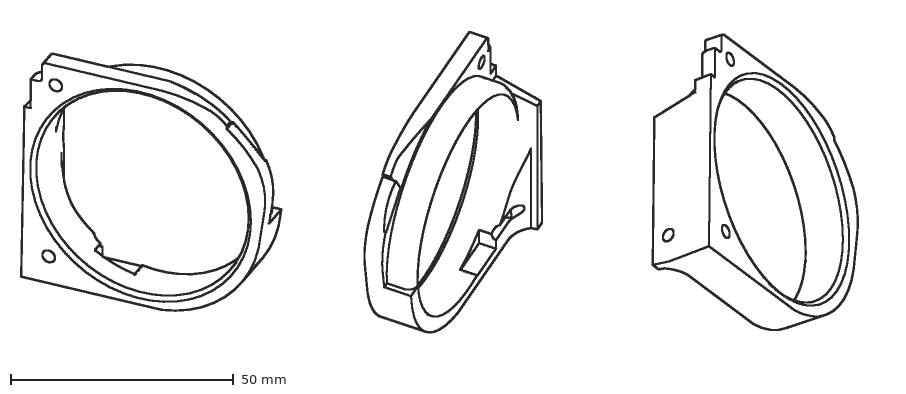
import cadquery as cq
import math

ring_x = 29.4
ring_z = 28.9
bore_radius = 26.15
bore_chamfer = 1.0
ring_radius = 28.4
ring_depth = 11.1
ring_round = 2.5

width = 60.15
height = 57.75
plate_depth = 4.45
step_low_z = 45.0
step_low_x = 2.35
step_high_z = 52.6
step_high_x = 5.1
step_round = 0.95
side_lean = 0.8
notch_x = 50.65
notch_low_z = 51.75
notch_high_z = 52.5
skirt_top_z = 26.5

relief_start = 2.0
relief_width = 1.55

wall_depth = 15.9
wall_lean = 0.95
wall_root_x = 3.9
wall_tip_x = 3.4
wall_front_z = 41.9
wall_back_z = 39.3
wall_bottom_rise = 0.7
gusset_radius = 6.0
gusset_end_x = 8.8

rim_floor = 2.0
rim_start_x = 34.65
rim_cone_radius = 29.35
flat_chamfer_x = 58.35
flat_chamfer_z = 43.0
flat_chamfer_length = 15.05
flat_chamfer_inset = 0.4

hole_diameter = 3.05
screw_holes = [(8.55, step_high_z), (6.8, 7.1)]
cable_hole_y = 11.55
cable_hole_z = 7.0
cable_hole_length = 18.05

pocket_left_x = 15.05
pocket_right_x = 24.85
pocket_front_y = 6.9
pocket_floor_z = 2.8

clearance = 18.05


def box(x_range, y_range, z_range):
    """Box given by its limits along each axis."""
    sizes = [high - low for low, high in (x_range, y_range, z_range)]
    corner = (x_range[0], y_range[0], z_range[0])
    return cq.Workplane("XY").box(*sizes, centered=False).translate(corner)


def revolve_about_ring(profile):
    """Turn a closed (radius, depth) profile about the ring axis."""
    solid = profile.close().revolve(360, (0, 0, 0), (0, 1, 0))
    return solid.translate((ring_x, 0, ring_z))


def make_outline(depth):
    """Flange outline with the stepped left edge, extruded towards +Y."""
    return (
        cq.Workplane("XZ")
        .moveTo(0, 0)
        .lineTo(rim_start_x, 0)
        .threePointArc((50.9, 8.0), (58.5, 22.15))
        .lineTo(59.9, 32.2)
        .threePointArc((59.9, 37.9), (flat_chamfer_x, flat_chamfer_z))
        .threePointArc((55.45, 47.1), (notch_x, notch_low_z))
        .lineTo(notch_x, notch_high_z)
        .threePointArc((48.6, 54.3), (45.9, 55.7))
        .threePointArc((40.4, 57.15), (rim_start_x, height))
        .lineTo(step_high_x + step_round, height)
        .radiusArc((step_high_x, height - step_round), -step_round)
        .lineTo(step_high_x, step_high_z + step_round)
        .radiusArc((step_high_x - step_round, step_high_z), step_round)
        .lineTo(step_low_x, step_high_z)
        .lineTo(step_low_x, step_low_z)
        .lineTo(side_lean, step_low_z)
        .close()
        .extrude(-depth)
    )


def make_ring():
    """Ring blank with a rounded back edge, bored out later."""
    shoulder = ring_depth - ring_round
    arc_center = ring_radius - ring_round
    rise = math.sqrt(ring_round**2 - (bore_radius - arc_center) ** 2)
    profile = (
        cq.Workplane("XY")
        .moveTo(0, 0)
        .lineTo(ring_radius, 0)
        .lineTo(ring_radius, shoulder)
        .radiusArc((bore_radius, shoulder + rise), -ring_round)
        .lineTo(0, shoulder + rise)
    )
    return revolve_about_ring(profile)


def make_skirt():
    """Lower part of the flange, carried back to the depth of the ring."""
    lower = box((-clearance, width + clearance), (0, ring_depth), (0, skirt_top_z))
    return make_outline(ring_depth).intersect(lower)


def make_wall():
    """Leaning left wall with sloped ends and a curved gusset behind the skirt."""
    wall = (
        cq.Workplane("XY")
        .polyline([(0, 0), (wall_root_x, 0), (wall_tip_x, wall_depth), (0, wall_depth)])
        .close()
        .extrude(height)
    )
    gusset_side = gusset_end_x - wall_tip_x
    gusset_rise = gusset_radius - math.sqrt(gusset_radius**2 - gusset_side**2)
    gusset = (
        cq.Workplane("XY")
        .moveTo(0, plate_depth)
        .lineTo(wall_tip_x, plate_depth)
        .lineTo(gusset_end_x, ring_depth)
        .radiusArc((wall_tip_x, ring_depth + gusset_rise), gusset_radius)
        .lineTo(0, ring_depth + gusset_rise)
        .close()
        .extrude(skirt_top_z)
    )
    side = (
        cq.Workplane("YZ")
        .polyline([
            (0, 0),
            (ring_depth, 0),
            (wall_depth, wall_bottom_rise),
            (wall_depth, wall_back_z),
            (plate_depth, wall_front_z),
            (0, wall_front_z),
        ])
        .close()
        .extrude(clearance)
    )
    return wall.union(gusset).intersect(side)


def make_side_trim():
    """Cutter for the left face, which leans inward both upward and backward."""

    def section(lean):
        return [(-clearance, 0), (lean, 0), (lean + wall_lean, wall_depth), (-clearance, wall_depth)]

    return (
        cq.Workplane("XY")
        .polyline(section(0))
        .close()
        .workplane(offset=step_low_z)
        .polyline(section(side_lean))
        .close()
        .loft(ruled=True)
    )


def make_edge_relief():
    """Rounding along the back of the left edge, above the wall."""
    rise = plate_depth - relief_start
    relief_radius = (relief_width**2 + rise**2) / (2 * relief_width)
    return (
        cq.Workplane("XY", origin=(0, 0, step_low_z))
        .moveTo(step_low_x, relief_start)
        .radiusArc((step_low_x + relief_width, plate_depth), relief_radius)
        .lineTo(step_low_x - relief_width, plate_depth)
        .lineTo(step_low_x - relief_width, relief_start)
        .close()
        .extrude(step_high_z - step_low_z)
    )


def make_cone_chamfer():
    """Conical 45 degree chamfer from the top edge to the notch."""
    drop = plate_depth - rim_floor
    outer = rim_cone_radius + clearance
    cone = revolve_about_ring(
        cq.Workplane("XY")
        .moveTo(rim_cone_radius, plate_depth)
        .lineTo(rim_cone_radius + drop, rim_floor)
        .lineTo(outer, rim_floor)
        .lineTo(outer, plate_depth)
    )
    return cone.intersect(box((rim_start_x, notch_x), (0, plate_depth), (ring_z, height)))


def make_flat_chamfer():
    """Flat 45 degree chamfer across the bulge below the notch."""
    plane = cq.Plane(
        origin=(flat_chamfer_x, plate_depth, flat_chamfer_z),
        xDir=(1, 0, 1),
        normal=(-1, 0, 1),
    )
    wedge = (
        cq.Workplane(plane)
        .polyline([
            (-flat_chamfer_inset, 0),
            (plate_depth, 0),
            (plate_depth, -plate_depth - flat_chamfer_inset),
        ])
        .close()
        .extrude(flat_chamfer_length)
    )
    return wedge.intersect(box((notch_x, width + clearance), (0, plate_depth), (ring_z, height)))


def make_bore():
    """Through bore, chamfered at the front."""
    profile = (
        cq.Workplane("XY")
        .moveTo(0, 0)
        .lineTo(bore_radius + bore_chamfer, 0)
        .lineTo(bore_radius, bore_chamfer)
        .lineTo(bore_radius, wall_depth)
        .lineTo(0, wall_depth)
    )
    return revolve_about_ring(profile)


pocket = box(
    (pocket_left_x, pocket_right_x),
    (pocket_front_y, ring_depth),
    (pocket_floor_z, cable_hole_z),
)
screw_cutter = (
    cq.Workplane("XZ").pushPoints(screw_holes).circle(hole_diameter / 2).extrude(-wall_depth)
)
cable_cutter = (
    cq.Workplane("YZ")
    .center(cable_hole_y, cable_hole_z)
    .circle(hole_diameter / 2)
    .extrude(cable_hole_length)
)

plate = (
    make_outline(plate_depth)
    .cut(make_edge_relief())
    .cut(make_cone_chamfer())
    .cut(make_flat_chamfer())
)
result = (
    plate.union(make_ring())
    .union(make_skirt())
    .union(make_wall())
    .cut(make_side_trim())
    .cut(make_bore())
    .cut(pocket)
    .cut(screw_cutter)
    .cut(cable_cutter)
)